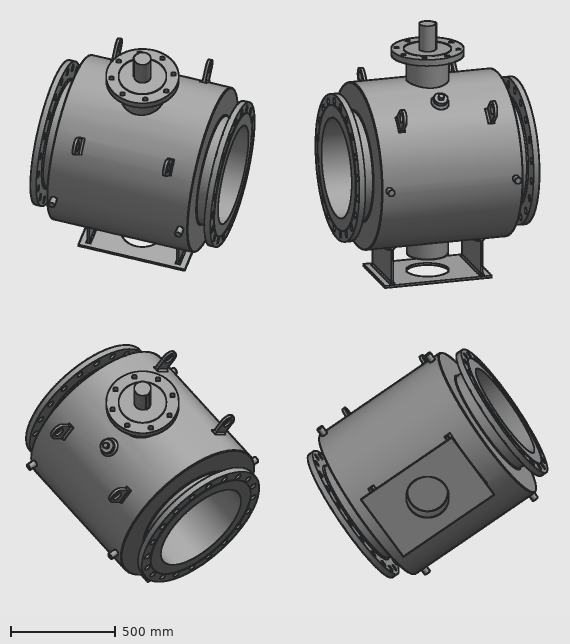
import cadquery as cq

OVERALL_LENGTH = 914.0
BODY_LENGTH = 709.0
BODY_DIA = 812.0
BODY_EDGE_CHAMFER = 4.0
BORE_DIA = 488.0
NECK_DIA = 535.0
NECK_WELD_HEIGHT = 5.0
BODY_WELD_LENGTH = 4.0
FLANGE_WELD_LENGTH = 8.0

FLANGE_DIA = 715.0
FLANGE_THICKNESS = 30.0
RAISED_FACE_DIA = 610.0
RAISED_FACE_HEIGHT = 4.0
FLANGE_HOLE_DIA = 33.0
FLANGE_HOLE_COUNT = 20
FLANGE_BOLT_CIRCLE = 650.0

OVERALL_HEIGHT = 1257
SHAFT_TOP_Z = 686.0
SHAFT_DIA = 80.0
SHAFT_LENGTH = 126
KEY_WIDTH = 21.0
KEY_REACH = 43.0
STEM_FLANGE_DIA = 350.0
STEM_FLANGE_THICKNESS = 31.0
STEM_RECESS_DIA = 230.0
STEM_RECESS_DEPTH = 4.0
STEM_HOLE_DIA = 23.0
STEM_HOLE_COUNT = 8
STEM_BOLT_CIRCLE = 298.0
STEM_HOUSING_DIA = 206.0
STEM_COLLAR_DIA = 226
STEM_COLLAR_HEIGHT = 14.0

TRUNNION_DIA = 200.0
TRUNNION_BOTTOM_Z = -478
TRUNNION_CHAMFER = 4.0

PIN_DIA = 31.0
PIN_SPACING = 636.0
PIN_SPAN = 890.0

LUG_ANGLE = 45
LUG_WIDTH = 80.0
LUG_THICKNESS = 15.0
LUG_X = 228.0
LUG_HOLE_DIA = 48.0
LUG_HOLE_RADIUS = 475.0
LUG_WELD_X = 225.0
LUG_WELD_WIDTH = 33.0
LUG_WELD_HEIGHT = 9.0

FITTING_ANGLE = 30
FITTING_DIA = 68.0
FITTING_TOP_RADIUS = 435.0
FITTING_TIP_DIA = 26.0
FITTING_TIP_RADIUS = 451.0
FITTING_WELD_DIA = 87.0
FITTING_WELD_TOP_RADIUS = 419.0

STAND_BOTTOM_Z = SHAFT_TOP_Z - OVERALL_HEIGHT
STAND_PLATE_LENGTH = 535.0
STAND_PLATE_WIDTH = 352
STAND_PLATE_THICKNESS = 11.0
STAND_PLATE_HOLE_DIA = 206.0
LEG_SPACING = 450.0
LEG_WIDTH = 307.0
LEG_THICKNESS = 10.0
FOOT_WELD_WIDTH = 24.0
FOOT_WELD_HEIGHT = 9.0
SADDLE_WELD_WIDTH = 33.0
SADDLE_WELD_HEIGHT = 11.0

BODY_RADIUS = BODY_DIA / 2
BODY_END_X = BODY_LENGTH / 2
FLANGE_OUTER_X = OVERALL_LENGTH / 2 - RAISED_FACE_HEIGHT
FLANGE_INNER_X = FLANGE_OUTER_X - FLANGE_THICKNESS
STEM_FLANGE_TOP_Z = SHAFT_TOP_Z - SHAFT_LENGTH
STEM_FLANGE_BOTTOM_Z = STEM_FLANGE_TOP_Z - STEM_FLANGE_THICKNESS
STAND_PLATE_TOP_Z = STAND_BOTTOM_Z + STAND_PLATE_THICKNESS
WALL_RADIUS = (BORE_DIA / 2 + BODY_RADIUS) / 2


def cylinder_z(diameter, bottom, top):
    return cq.Workplane("XY").workplane(offset=bottom).circle(diameter / 2).extrude(top - bottom)


def cylinder_x(diameter, start, end):
    return cq.Workplane("YZ").workplane(offset=start).circle(diameter / 2).extrude(end - start)


def cone_z(bottom_dia, top_dia, bottom, top):
    profile = [(0, bottom), (bottom_dia / 2, bottom), (top_dia / 2, top), (0, top)]
    return cq.Workplane("XZ").polyline(profile).close().revolve(360, (0, 0), (0, 1))


def lean(solid, angle):
    """Tilt an upright solid about the bore axis; a positive angle moves its top toward -Y."""
    return solid.rotate((0, 0, 0), (1, 0, 0), angle)


def pipe_end():
    """Core, neck, weld rings and flange on the +X side."""
    neck_radius = NECK_DIA / 2
    weld_radius = neck_radius + NECK_WELD_HEIGHT
    flange_radius = FLANGE_DIA / 2
    face_radius = RAISED_FACE_DIA / 2
    profile = [
        (0, 0),
        (0, weld_radius),
        (BODY_END_X, weld_radius),
        (BODY_END_X + BODY_WELD_LENGTH, neck_radius),
        (FLANGE_INNER_X - FLANGE_WELD_LENGTH, neck_radius),
        (FLANGE_INNER_X, weld_radius),
        (FLANGE_INNER_X, flange_radius),
        (FLANGE_OUTER_X, flange_radius),
        (FLANGE_OUTER_X, face_radius),
        (OVERALL_LENGTH / 2, face_radius),
        (OVERALL_LENGTH / 2, 0),
    ]
    turned = cq.Workplane("XY").polyline(profile).close().revolve(360, (0, 0), (1, 0))
    holes = (
        cq.Workplane("YZ")
        .workplane(offset=FLANGE_INNER_X)
        .polarArray(FLANGE_BOLT_CIRCLE / 2, 180 / FLANGE_HOLE_COUNT, 360, FLANGE_HOLE_COUNT)
        .circle(FLANGE_HOLE_DIA / 2)
        .extrude(FLANGE_THICKNESS + RAISED_FACE_HEIGHT)
    )
    return turned.cut(holes)


def stem():
    """Housing, tapered collar, drilled flange and keyed shaft on top of the body."""
    collar_bottom = STEM_FLANGE_BOTTOM_Z - STEM_COLLAR_HEIGHT
    housing = cylinder_z(STEM_HOUSING_DIA, WALL_RADIUS, STEM_FLANGE_BOTTOM_Z)
    collar = cone_z(STEM_HOUSING_DIA, STEM_COLLAR_DIA, collar_bottom, STEM_FLANGE_BOTTOM_Z)
    recess_floor = STEM_FLANGE_TOP_Z - STEM_RECESS_DEPTH
    holes = (
        cq.Workplane("XY")
        .workplane(offset=STEM_FLANGE_BOTTOM_Z)
        .polarArray(STEM_BOLT_CIRCLE / 2, 180 / STEM_HOLE_COUNT, 360, STEM_HOLE_COUNT)
        .circle(STEM_HOLE_DIA / 2)
        .extrude(STEM_FLANGE_THICKNESS)
    )
    flange = (
        cylinder_z(STEM_FLANGE_DIA, STEM_FLANGE_BOTTOM_Z, STEM_FLANGE_TOP_Z)
        .cut(cylinder_z(STEM_RECESS_DIA, recess_floor, STEM_FLANGE_TOP_Z))
        .cut(holes)
    )
    shaft = cylinder_z(SHAFT_DIA, STEM_FLANGE_BOTTOM_Z, SHAFT_TOP_Z)
    key = cq.Workplane("XY").box(
        KEY_REACH, KEY_WIDTH, SHAFT_TOP_Z - recess_floor, centered=(False, True, False)
    ).translate((-KEY_REACH, 0, recess_floor))
    return housing.union(collar).union(flange).union(shaft).union(key)


def trunnion():
    """Housing below the body with a chamfered lower rim."""
    return (
        cylinder_z(TRUNNION_DIA, TRUNNION_BOTTOM_Z, -WALL_RADIUS)
        .faces("<Z")
        .edges()
        .chamfer(TRUNNION_CHAMFER)
    )


def side_pin(x, side):
    """Pin standing out level from the body, toward +Y when side is 1 and -Y when it is -1."""
    pin = cylinder_z(PIN_DIA, WALL_RADIUS, PIN_SPAN / 2)
    return lean(pin, -90 * side).translate((x, 0, 0))


def lifting_lug(side_x, side_y):
    """Round-ended eye plate on a tapered weld, leaning toward side_y."""
    half_width = LUG_WIDTH / 2
    plate = (
        cq.Workplane("YZ")
        .moveTo(-half_width, WALL_RADIUS)
        .lineTo(half_width, WALL_RADIUS)
        .lineTo(half_width, LUG_HOLE_RADIUS)
        .threePointArc((0, LUG_HOLE_RADIUS + half_width), (-half_width, LUG_HOLE_RADIUS))
        .close()
        .moveTo(0, LUG_HOLE_RADIUS)
        .circle(LUG_HOLE_DIA / 2)
        .extrude(LUG_THICKNESS / 2, both=True)
        .translate((side_x * LUG_X, 0, 0))
    )
    weld_low = side_x * LUG_WELD_X - LUG_WELD_WIDTH / 2
    weld_high = side_x * LUG_WELD_X + LUG_WELD_WIDTH / 2
    plate_low = side_x * LUG_X - LUG_THICKNESS / 2
    plate_high = side_x * LUG_X + LUG_THICKNESS / 2
    weld_top = BODY_RADIUS + LUG_WELD_HEIGHT
    weld_profile = [
        (weld_low, WALL_RADIUS),
        (weld_high, WALL_RADIUS),
        (weld_high, BODY_RADIUS),
        (plate_high, weld_top),
        (plate_low, weld_top),
        (weld_low, BODY_RADIUS),
    ]
    weld = cq.Workplane("XZ").polyline(weld_profile).close().extrude(half_width, both=True)
    return lean(plate.union(weld), -side_y * LUG_ANGLE)


def fitting():
    """Cylinder with a small tip and a conical weld, leaning toward +Y."""
    base = cylinder_z(FITTING_DIA, WALL_RADIUS, FITTING_TOP_RADIUS)
    tip = cylinder_z(FITTING_TIP_DIA, FITTING_TOP_RADIUS, FITTING_TIP_RADIUS)
    weld_bottom = 2 * BODY_RADIUS - FITTING_WELD_TOP_RADIUS
    weld_bottom_dia = 2 * FITTING_WELD_DIA - FITTING_DIA
    weld = cone_z(weld_bottom_dia, FITTING_DIA, weld_bottom, FITTING_WELD_TOP_RADIUS)
    return lean(base.union(tip).union(weld), -FITTING_ANGLE)


def stand_leg(x):
    """Upright plate with a flared weld at its foot and a curved one along the body."""
    leg = cq.Workplane("XY").box(
        LEG_THICKNESS, LEG_WIDTH, -STAND_PLATE_TOP_Z - WALL_RADIUS, centered=(True, True, False)
    ).translate((0, 0, STAND_PLATE_TOP_Z))
    half_leg = LEG_THICKNESS / 2
    foot_profile = [
        (-FOOT_WELD_WIDTH / 2, STAND_PLATE_TOP_Z),
        (FOOT_WELD_WIDTH / 2, STAND_PLATE_TOP_Z),
        (half_leg, STAND_PLATE_TOP_Z + FOOT_WELD_HEIGHT),
        (-half_leg, STAND_PLATE_TOP_Z + FOOT_WELD_HEIGHT),
    ]
    foot = cq.Workplane("XZ").polyline(foot_profile).close().extrude(LEG_WIDTH / 2, both=True)
    half_saddle = SADDLE_WELD_WIDTH / 2
    saddle_profile = [
        (-half_saddle, WALL_RADIUS),
        (half_saddle, WALL_RADIUS),
        (half_saddle, BODY_RADIUS),
        (half_leg, BODY_RADIUS + SADDLE_WELD_HEIGHT),
        (-half_leg, BODY_RADIUS + SADDLE_WELD_HEIGHT),
        (-half_saddle, BODY_RADIUS),
    ]
    saddle_ring = cq.Workplane("XY").polyline(saddle_profile).close().revolve(360, (0, 0), (1, 0))
    saddle_limits = cq.Workplane("XY").box(
        SADDLE_WELD_WIDTH, LEG_WIDTH, BODY_DIA, centered=(True, True, False)
    ).translate((0, 0, -BODY_DIA))
    saddle = saddle_ring.intersect(saddle_limits)
    return leg.union(foot).union(saddle).translate((x, 0, 0))


def stand_plate():
    """Flat plate with a round opening below the trunnion."""
    return (
        cq.Workplane("XY")
        .workplane(offset=STAND_BOTTOM_Z)
        .rect(STAND_PLATE_LENGTH, STAND_PLATE_WIDTH)
        .circle(STAND_PLATE_HOLE_DIA / 2)
        .extrude(STAND_PLATE_THICKNESS)
    )


valve = cylinder_x(BODY_DIA, -BODY_END_X, BODY_END_X).edges().chamfer(BODY_EDGE_CHAMFER)
pipe_end_solid = pipe_end()
valve = valve.union(pipe_end_solid).union(pipe_end_solid.mirror("YZ"))
valve = valve.union(stem()).union(trunnion()).union(fitting())

for side_x in (-1, 1):
    valve = valve.union(stand_leg(side_x * LEG_SPACING / 2))
    for side_y in (-1, 1):
        valve = valve.union(side_pin(side_x * PIN_SPACING / 2, side_y))
        valve = valve.union(lifting_lug(side_x, side_y))

valve = valve.union(stand_plate())
result = valve.cut(cylinder_x(BORE_DIA, -OVERALL_LENGTH / 2, OVERALL_LENGTH / 2))